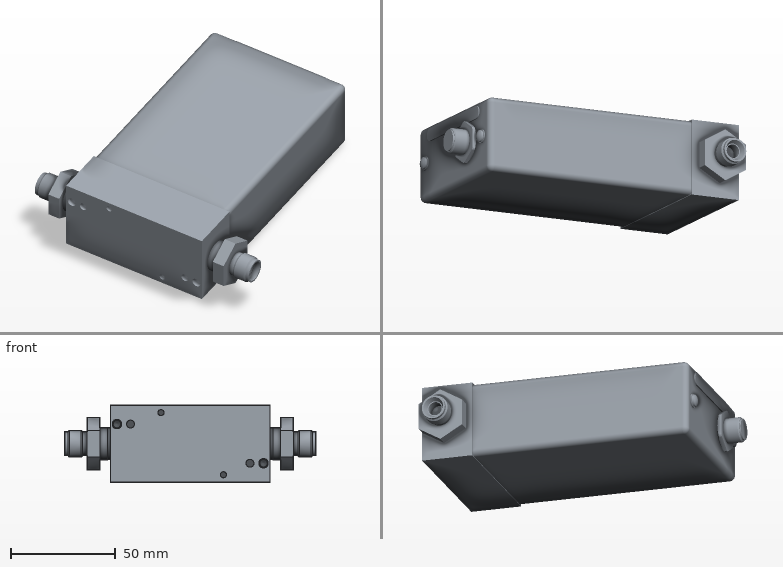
import cadquery as cq
import math

overall_length = 144.0
overall_width = 120.0
height = 36.9

block_width = 76.2
block_depth = 25.0

cover_x = -0.3
cover_width = 75.5
cover_height = 36.3
cover_end = 133.1
cover_edge_radius = 2.7

hole_depth = 5.8
tapped_hole_diameter = 4.5
tapping_drill_diameter = 3.6
plain_hole_diameter = 3.7
small_hole_diameter = 2.9
side_hole_height = 9.4
tapped_hole_x = 35.0
plain_hole_x = 28.5
small_hole_height = 14.8
upper_small_hole_x = -14.0
lower_small_hole_x = 15.8
drill_point_angle = 118.0

fitting_y = 12.7
collar_diameter = 15.4
collar_length = 5.0
collar_relief_diameter = 15.3
collar_relief_length = 1.3
fitting_hex_flats = 21.7
fitting_hex_thickness = 6.0
neck_radius = 5.8
neck_length = 2.2
neck_taper_length = 0.9
thread_diameter = 12.8
thread_chamfer = 0.7
tip_radius = 5.8
tip_length = 1.6
mouth_radius = 4.9
mouth_depth = 2.7
seat_radius = 3.7
bore_radius = 3.3
bore_depth = 8.6

connector_x = -16.0
connector_radius = 6.0
connector_chamfer = 0.6
connector_tip_radius = 5.2
connector_tip_length = 0.7
connector_hex_flats = 18.1
connector_hex_corner_radius = 10.2
connector_hex_thickness = 2.6
connector_hex_face_radius = 8.4
hex_chamfer_angle = 30.0

screw_x = 30.1
screw_head_radius = 2.9
screw_head_side = 1.0
screw_dome_height = 1.0
washer_radius = 3.3
washer_thickness = 0.6
label_length = 55.3
label_height = 6.3
label_thickness = 0.6
label_z = 13.0


def disc_along_y(radius, length, x, y, z=0.0):
    """Cylinder that starts at y and runs toward +Y."""
    return cq.Workplane(cq.Solid.makeCylinder(radius, length, cq.Vector(x, y, z), cq.Vector(0, 1, 0)))


def make_blind_hole(diameter, x, z):
    """Flat-bottomed hole running in from the front face."""
    return disc_along_y(diameter / 2, hole_depth, x, 0, z)


def make_tapped_hole(x, z):
    """Hole of thread diameter with a narrower drill point at its inner end."""
    radius = tapping_drill_diameter / 2
    point_length = radius / math.tan(math.radians(drill_point_angle / 2))
    point = cq.Solid.makeCone(radius, 0, point_length, cq.Vector(x, hole_depth, z), cq.Vector(0, 1, 0))
    return make_blind_hole(tapped_hole_diameter, x, z).union(cq.Workplane(point))


def make_block():
    block = cq.Workplane().box(block_width, block_depth, height, centered=(True, False, True))
    for side in (-1, 1):
        z = -side * side_hole_height
        block = block.cut(make_tapped_hole(side * tapped_hole_x, z))
        block = block.cut(make_blind_hole(plain_hole_diameter, side * plain_hole_x, z))
    block = block.cut(make_blind_hole(small_hole_diameter, upper_small_hole_x, small_hole_height))
    return block.cut(make_blind_hole(small_hole_diameter, lower_small_hole_x, -small_hole_height))


def make_cover():
    cover_length = cover_end - block_depth
    cover = cq.Workplane().box(cover_width, cover_length, cover_height, centered=(True, False, True))
    cover = cover.edges("|Y or >Y").fillet(cover_edge_radius)
    return cover.translate((cover_x, block_depth, 0))


def make_fitting(side):
    """Hexagonal pipe fitting on the -X (side = -1) or +X (side = 1) face of the block."""
    base = block_width / 2
    relief_end = base + collar_relief_length
    hex_start = base + collar_length
    hex_end = hex_start + fitting_hex_thickness
    neck_end = hex_end + neck_length
    thread_start = neck_end + neck_taper_length
    end = overall_width / 2
    tip_start = end - tip_length
    profile = [
        (base, 0),
        (base, collar_relief_diameter / 2),
        (relief_end, collar_relief_diameter / 2),
        (relief_end, collar_diameter / 2),
        (hex_start, collar_diameter / 2),
        (hex_start, neck_radius),
        (neck_end, neck_radius),
        (thread_start, thread_diameter / 2),
        (tip_start - thread_chamfer, thread_diameter / 2),
        (tip_start, tip_radius),
        (end, tip_radius),
        (end, mouth_radius),
        (end - mouth_depth, seat_radius),
        (end - mouth_depth, bore_radius),
        (end - bore_depth, bore_radius),
        (end - bore_depth, 0),
    ]
    fitting = cq.Workplane("XY").polyline(profile).close().revolve(360, (0, 0), (1, 0))
    corner_diameter = fitting_hex_flats / math.cos(math.pi / 6)
    hexagon = cq.Workplane("YZ", origin=(hex_start, 0, 0)).polygon(6, corner_diameter)
    hexagon = hexagon.extrude(fitting_hex_thickness).rotate((0, 0, 0), (1, 0, 0), 90)
    bore = cq.Workplane("YZ", origin=(end - bore_depth, 0, 0)).circle(bore_radius).extrude(bore_depth)
    fitting = fitting.union(hexagon).cut(bore)
    if side < 0:
        fitting = fitting.mirror("YZ")
    return fitting.translate((0, fitting_y, 0))


def make_connector():
    """Round connector with a hexagonal flange, chamfered on the side that meets the cover."""
    hex_end = cover_end + connector_hex_thickness
    chamfer_start = overall_length - connector_tip_length
    chamfer_width = connector_hex_corner_radius - connector_hex_face_radius
    chamfer_rise = chamfer_width * math.tan(math.radians(hex_chamfer_angle))
    corner_diameter = connector_hex_flats / math.cos(math.pi / 6)
    turned_blank = (
        cq.Workplane("XY")
        .polyline([
            (0, cover_end),
            (connector_hex_face_radius, cover_end),
            (connector_hex_corner_radius, cover_end + chamfer_rise),
            (connector_hex_corner_radius, hex_end),
            (0, hex_end),
        ])
        .close()
        .revolve(360, (0, 0), (0, 1))
    )
    flange = cq.Workplane("XZ", origin=(0, hex_end, 0)).polygon(6, corner_diameter)
    flange = flange.extrude(connector_hex_thickness).rotate((0, 0, 0), (0, 1, 0), 90)
    barrel = (
        cq.Workplane("XY")
        .polyline([
            (0, cover_end),
            (connector_radius, cover_end),
            (connector_radius, chamfer_start - connector_chamfer),
            (connector_radius - connector_chamfer, chamfer_start),
            (connector_tip_radius, chamfer_start),
            (connector_tip_radius, overall_length),
            (0, overall_length),
        ])
        .close()
        .revolve(360, (0, 0), (0, 1))
    )
    return flange.intersect(turned_blank).union(barrel).translate((connector_x, 0, 0))


def make_washer(x):
    return disc_along_y(washer_radius, washer_thickness, x, cover_end)


def make_screw(x):
    """Round screw head with a domed top, resting on its washer."""
    base = cover_end + washer_thickness
    shoulder = base + screw_head_side
    top = shoulder + screw_dome_height
    dome_radius = (screw_head_radius**2 + screw_dome_height**2) / (2 * screw_dome_height)
    screw = (
        cq.Workplane("XY")
        .moveTo(0, base)
        .lineTo(screw_head_radius, base)
        .lineTo(screw_head_radius, shoulder)
        .radiusArc((0, top), -dome_radius)
        .close()
        .revolve(360, (0, 0), (0, 1))
    )
    return screw.translate((x, 0, 0))


def make_label():
    """Thin plate with round ends, lying flat on the end of the cover."""
    label = cq.Workplane("XZ", origin=(0, cover_end + label_thickness, label_z))
    return label.slot2D(label_length, label_height).extrude(label_thickness)


block = make_block()
cover = make_cover()
connector = make_connector()
label = make_label()
fittings = [make_fitting(side) for side in (-1, 1)]
washers = [make_washer(side * screw_x) for side in (-1, 1)]
screws = [make_screw(side * screw_x) for side in (-1, 1)]

bodies = [block, cover, connector, label, *fittings, *washers, *screws]
result = cq.Compound.makeCompound([body.val() for body in bodies])